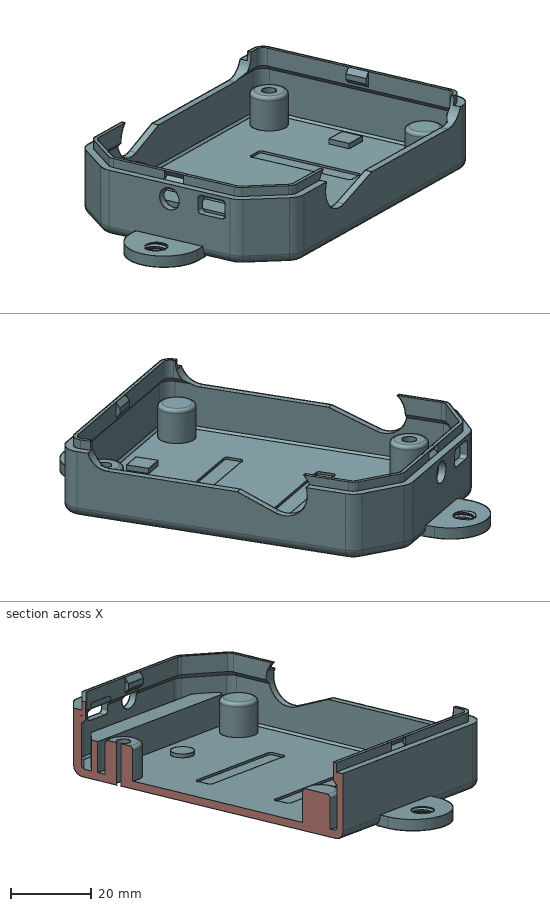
import cadquery as cq
import math

WIDTH = 64.0
LENGTH = 90.0
STEP_HEIGHT = 17.5
TOTAL_HEIGHT = 19.9
FLOOR_TOP = 2.2
CORNER_RADIUS = 5.0
BOTTOM_FILLET = 2.4
NOSE_CUT_X = 12.3
NOSE_CUT_Y = 9.9

WALL = 2.0
LIP_OUTER_INSET = 2.1
LIP_INNER_INSET = 3.1
LEDGE_TOP = 15.1
LEDGE_BOTTOM = 13.9
FLOOR_EDGE_CHAMFER = 0.6

EAR_THICKNESS = 3.0
EAR_RADIUS = 10.0
EAR_OVERHANG = 12.5
EAR_HOLE_Y = 51.0
THREAD_MINOR = 5.12
THREAD_MAJOR = 6.35
THREAD_PITCH = 1.27
THREAD_TURNS = 4.3
THREAD_TURNS_BELOW_TOP = 3.458
THREAD_START_ANGLE = 150.0
THREAD_GROOVE_WIDTH = 1.2
THREAD_ROOT_FLAT = 0.16

POST_DIAMETER = 9.6
POST_TOP = 11.2
POST_FILLET = 1.0
POST_HOLE = 3.7
POST_X = 23.0
POST_REAR_Y = 36.5
POST_FRONT_Y = -26.45

SLOT_LENGTH = 30.0
SLOT_WIDTH = 5.0
SLOT_CORNER = 0.8
SLOT_DEPTH = 0.6
SLOT_CENTRES_Y = (17.5, -7.5)
PAD_SIZE = 6.0
PAD_Y = 36.0
PAD_TOP = 3.6
DISC_DIAMETER = 6.0
DISC_Y = -26.0
DISC_TOP = 3.2
BLOCK_REAR_Y = -33.0
BLOCK_FRONT_Y = -39.0
BLOCK_FRONT_HALF_WIDTH = 20.1
BLOCK_CORNER = 1.2
BLOCK_TOP = 10.3

LED_DIAMETER = 5.8
LED_Z = 13.6
PORT_X = 12.5
PORT_Z = 14.0
PORT_WIDTH = 8.0
PORT_HEIGHT = 5.0
PORT_CORNER = 1.0

CATCH_WIDTH = 6.0
CATCH_DEPTH = 1.1
CATCH_APEX_Z = 18.4
CATCH_FACE_HEIGHT = 1.5
NOTCH_WIDTH = 5.5

HOOK_RADIUS = 6.35
LEFT_CUTOUT = dict(rear_y=37.3, rear_radius=5.6, sill_z=13.5, ramp_y=-3.4, hook_y=-16.05, hook_z=15.4)
RIGHT_CUTOUT = dict(rear_y=39.5, rear_radius=6.1, sill_z=13.4, ramp_y=-1.6, hook_y=-16.5, hook_z=15.1)

OVERLAP = 0.25
CLEARANCE = 1.0

HALF_WIDTH = WIDTH / 2
HALF_LENGTH = LENGTH / 2
CUT_DEPTH = WALL + 2 * LIP_INNER_INSET


def outline(inset, z):
    """Plan outline of the tray at height z, moved inward by the given inset."""
    nose_x = HALF_WIDTH - NOSE_CUT_X
    nose_y = NOSE_CUT_Y - HALF_LENGTH
    corners = [
        (-HALF_WIDTH, HALF_LENGTH),
        (HALF_WIDTH, HALF_LENGTH),
        (HALF_WIDTH, nose_y),
        (nose_x, -HALF_LENGTH),
        (-nose_x, -HALF_LENGTH),
        (-HALF_WIDTH, nose_y),
    ]
    wire = cq.Wire.makePolygon([cq.Vector(x, y, 0) for x, y in corners], close=True)
    wire = wire.fillet2D(CORNER_RADIUS, wire.Vertices())
    if inset > 0:
        wire = wire.offset2D(-inset, "arc")[0]
    return wire.moved(cq.Location(cq.Vector(0, 0, z)))


def prism(inset, bottom, top):
    """Straight-sided solid of the inset outline."""
    height = cq.Vector(0, 0, top - bottom)
    return cq.Workplane(cq.Solid.extrudeLinear(outline(inset, bottom), [], height))


def taper(bottom_inset, bottom, top_inset, top):
    """Ruled solid between two insets of the outline."""
    wires = [outline(bottom_inset, bottom), outline(top_inset, top)]
    return cq.Workplane(cq.Solid.makeLoft(wires, True))


def make_shell():
    """Hollow tray with a stepped lip, an overhanging inner ledge and a chamfered floor edge."""
    shell = prism(0, 0, STEP_HEIGHT).faces("<Z").edges().fillet(BOTTOM_FILLET)
    shell = shell.union(prism(LIP_OUTER_INSET, STEP_HEIGHT - CLEARANCE, TOTAL_HEIGHT))
    chamfer_top = FLOOR_TOP + FLOOR_EDGE_CHAMFER
    shell = shell.cut(taper(WALL + FLOOR_EDGE_CHAMFER, FLOOR_TOP, WALL, chamfer_top))
    shell = shell.cut(prism(WALL, chamfer_top, LEDGE_BOTTOM))
    shell = shell.cut(taper(WALL, LEDGE_BOTTOM, LIP_INNER_INSET, LEDGE_TOP))
    return shell.cut(prism(LIP_INNER_INSET, LEDGE_TOP, TOTAL_HEIGHT))


def make_ears():
    """Round-ended ears at the underside, rooted inside the front and rear walls."""
    length = LENGTH + 2 * EAR_OVERHANG
    ears = cq.Workplane("XY").slot2D(length, 2 * EAR_RADIUS, 90).extrude(EAR_THICKNESS)
    return ears.cut(prism(WALL / 2, 0, EAR_THICKNESS))


def make_side_cutout(centre_x, rear_y, rear_radius, sill_z, ramp_y, hook_y, hook_z):
    """Cutting prism through one side wall, with its ramp tangent to the hook round."""
    above = TOTAL_HEIGHT + CLEARANCE

    def on_hook(angle):
        return (hook_y + HOOK_RADIUS * math.cos(angle), hook_z + HOOK_RADIUS * math.sin(angle))

    ramp_distance = math.hypot(ramp_y - hook_y, sill_z - hook_z)
    ramp_bearing = math.atan2(sill_z - hook_z, ramp_y - hook_y)
    tangent_angle = ramp_bearing - math.acos(HOOK_RADIUS / ramp_distance)
    end_angle = -math.pi - math.asin((TOTAL_HEIGHT - hook_z) / HOOK_RADIUS)
    hook_end = on_hook(end_angle)

    rear_mid = rear_radius * (1 - math.sqrt(0.5))
    profile = (
        cq.Workplane("YZ", origin=(centre_x, 0, 0))
        .moveTo(rear_y, above)
        .lineTo(rear_y, sill_z + rear_radius)
        .threePointArc((rear_y - rear_mid, sill_z + rear_mid), (rear_y - rear_radius, sill_z))
        .lineTo(ramp_y, sill_z)
        .lineTo(*on_hook(tangent_angle))
        .threePointArc(on_hook((tangent_angle + end_angle) / 2), hook_end)
        .lineTo(hook_end[0], above)
        .close()
    )
    return profile.extrude(CUT_DEPTH, both=True)


def make_catch_prism(section, width, side):
    """Prism across the front (side -1) or rear (side 1) wall from (inset, z) points."""
    points = [(side * (HALF_LENGTH - inset), z) for inset, z in section]
    return cq.Workplane("YZ").polyline(points).close().extrude(width / 2, both=True)


def add_catch(body, side):
    """Add a bump on the inside of the lip and press a V notch into the outside."""
    root = (LIP_OUTER_INSET + LIP_INNER_INSET) / 2
    apex = LIP_INNER_INSET + CATCH_DEPTH
    face_bottom = CATCH_APEX_Z - CATCH_FACE_HEIGHT
    bump = [
        (root, TOTAL_HEIGHT),
        (LIP_INNER_INSET, TOTAL_HEIGHT),
        (apex, CATCH_APEX_Z),
        (apex, face_bottom),
        (LIP_INNER_INSET, face_bottom - CATCH_DEPTH),
        (root, face_bottom - CATCH_DEPTH),
    ]
    notch = [
        (LIP_OUTER_INSET, TOTAL_HEIGHT),
        (LIP_OUTER_INSET + CATCH_DEPTH, CATCH_APEX_Z),
        (LIP_OUTER_INSET, STEP_HEIGHT),
    ]
    body = body.union(make_catch_prism(bump, CATCH_WIDTH, side))
    return body.cut(make_catch_prism(notch, NOTCH_WIDTH, side))


def add_posts(body):
    """Four rounded posts, with the left rear and right front ones drilled through."""
    for x in (-POST_X, POST_X):
        for y in (POST_REAR_Y, POST_FRONT_Y):
            post = cq.Workplane("XY", origin=(x, y, FLOOR_TOP - OVERLAP))
            post = post.circle(POST_DIAMETER / 2).extrude(POST_TOP - FLOOR_TOP + OVERLAP)
            body = body.union(post.faces(">Z").edges().fillet(POST_FILLET))
    drilled = [(-POST_X, POST_REAR_Y), (POST_X, POST_FRONT_Y)]
    return body.cut(cq.Workplane("XY").pushPoints(drilled).circle(POST_HOLE / 2).extrude(POST_TOP))


def cut_floor_slots(body):
    """Shallow rounded slots across the floor."""
    for y in SLOT_CENTRES_Y:
        slot = cq.Workplane("XY", origin=(0, y, FLOOR_TOP - SLOT_DEPTH))
        slot = slot.rect(SLOT_LENGTH, SLOT_WIDTH).extrude(SLOT_DEPTH)
        body = body.cut(slot.edges("|Z").fillet(SLOT_CORNER))
    return body


def add_floor_blocks(body):
    """Square pad, round disc and the trapezoid block that follows the nose."""
    base_z = FLOOR_TOP - OVERLAP
    pad = cq.Workplane("XY", origin=(0, PAD_Y, base_z)).rect(PAD_SIZE, PAD_SIZE).extrude(PAD_TOP - base_z)
    disc = cq.Workplane("XY", origin=(0, DISC_Y, base_z)).circle(DISC_DIAMETER / 2).extrude(DISC_TOP - base_z)

    spread = (BLOCK_REAR_Y - BLOCK_FRONT_Y) * NOSE_CUT_X / NOSE_CUT_Y
    rear_half_width = BLOCK_FRONT_HALF_WIDTH + spread
    corners = [
        (-rear_half_width, BLOCK_REAR_Y),
        (rear_half_width, BLOCK_REAR_Y),
        (BLOCK_FRONT_HALF_WIDTH, BLOCK_FRONT_Y),
        (-BLOCK_FRONT_HALF_WIDTH, BLOCK_FRONT_Y),
    ]
    block = cq.Workplane("XY", origin=(0, 0, base_z)).polyline(corners).close().extrude(BLOCK_TOP - base_z)
    block = block.edges("|Z and >Y").fillet(BLOCK_CORNER)
    return body.union(pad).union(disc).union(block)


def cut_front_openings(body):
    """Round light hole and rounded connector port through the front wall."""
    outside_y = -HALF_LENGTH - CLEARANCE
    depth = -(CLEARANCE + WALL + CLEARANCE)
    led = cq.Workplane("XZ", origin=(0, outside_y, LED_Z)).circle(LED_DIAMETER / 2).extrude(depth)
    port = cq.Workplane("XZ", origin=(PORT_X, outside_y, PORT_Z)).rect(PORT_WIDTH, PORT_HEIGHT).extrude(depth)
    return body.cut(led).cut(port.edges("|Y").fillet(PORT_CORNER))


def cut_threaded_hole(body, y):
    """Run a helical V groove through an ear, then bore out the minor diameter."""
    half_groove = THREAD_GROOVE_WIDTH / 2
    half_root = THREAD_ROOT_FLAT / 2
    inner = THREAD_MINOR / 2 - OVERLAP
    outer = THREAD_MAJOR / 2
    start_z = EAR_THICKNESS - THREAD_TURNS_BELOW_TOP * THREAD_PITCH
    path = cq.Wire.makeHelix(THREAD_PITCH, THREAD_TURNS * THREAD_PITCH, inner)
    groove = (
        cq.Workplane("XZ")
        .polyline([(inner, -half_groove), (outer, -half_root), (outer, half_root), (inner, half_groove)])
        .close()
        .sweep(cq.Workplane(path), isFrenet=True)
        .rotate((0, 0, 0), (0, 0, 1), THREAD_START_ANGLE)
        .translate((0, y, start_z))
    )
    bore = cq.Workplane("XY", origin=(0, y, -CLEARANCE)).circle(THREAD_MINOR / 2)
    bore = bore.extrude(EAR_THICKNESS + 2 * CLEARANCE)
    return body.cut(groove, clean=False).cut(bore, clean=False)


result = make_shell().union(make_ears())
result = result.cut(make_side_cutout(-HALF_WIDTH, **LEFT_CUTOUT))
result = result.cut(make_side_cutout(HALF_WIDTH, **RIGHT_CUTOUT))
result = add_posts(result)
result = cut_floor_slots(result)
result = add_floor_blocks(result)
result = cut_front_openings(result)
for wall_side in (-1, 1):
    result = add_catch(result, wall_side)
for ear_side in (-1, 1):
    result = cut_threaded_hole(result, ear_side * EAR_HOLE_Y)
result = cq.Workplane(result.solids().val())